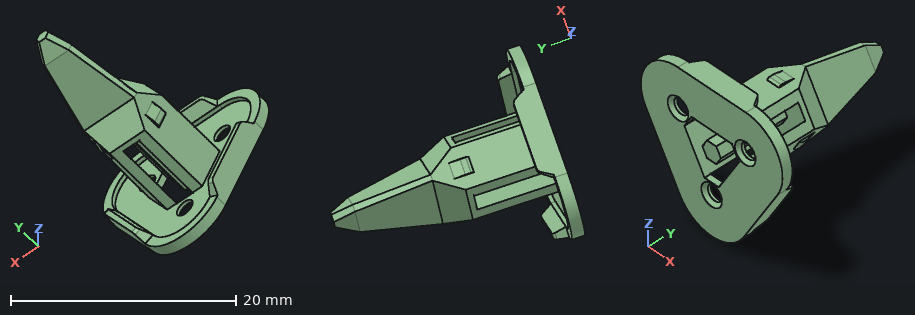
import cadquery as cq
import math

TURNS = (0, 120, 240)

FLANGE_THICKNESS = 1.24
FLOOR_THICKNESS = 0.78
CORNER_DISTANCE = 5.03
CORNER_RADIUS = 4.72
FLAT_DISTANCE = CORNER_DISTANCE / 2 + CORNER_RADIUS
CORNERS = [
    (CORNER_DISTANCE * math.sin(math.radians(turn)), -CORNER_DISTANCE * math.cos(math.radians(turn)))
    for turn in TURNS
]

HOLE_DISTANCE = 4.96
HOLE_RADIUS = 0.9
COUNTERSINK_RADIUS = 1.32

LIP_TOP = 2.51
LIP_BASE_HALF_LENGTH = 4.15
LIP_TOP_HALF_LENGTH = 3.35
LIP_BASE_WIDTH = 1.07
LIP_TOP_WIDTH = 0.55
LIP_END_FILLET = 0.5

PEG_INRADIUS = 3.5
PEG_STATIONS = (
    (0, PEG_INRADIUS, PEG_INRADIUS),
    (8.8, PEG_INRADIUS, PEG_INRADIUS),
    (11.3, PEG_INRADIUS, 2.0),
    (18.6, 1.77, 1.17),
    (20.6, 0.62, 0.62),
)

CAVITY_INRADIUS = 2.53
CAVITY_DEPTH = 8.2
PIN_INRADIUS = 1.03

CATCH_HALF_WIDTH = 0.76
CATCH_HEIGHT = 0.2
CATCH_RAMP_START = 9.43
CATCH_CREST_FRONT = 8.4
CATCH_CREST_BACK = 7.87
CATCH_BACK_RADIUS = 0.3


def turned(shape, angle):
    """Turn a shape about the peg axis."""
    return shape.rotate((0, 0, 0), (0, 1, 0), angle)


def base_plane(height):
    """Sketch plane across the peg, with local x along X, local y along Z and its normal along -Y."""
    return cq.Plane(origin=(0, height, 0), xDir=(1, 0, 0), normal=(0, -1, 0))


def hexagon(catch_distance, window_distance):
    """Corners of a hexagon whose faces lie alternately at two distances from the axis."""
    reach = (catch_distance + window_distance) / math.sqrt(3)
    catch_half = (2 * window_distance - catch_distance) / math.sqrt(3)
    window_half = (2 * catch_distance - window_distance) / math.sqrt(3)
    drop = window_distance - catch_distance
    return [
        (catch_half, catch_distance),
        (reach, drop),
        (window_half, -window_distance),
        (-window_half, -window_distance),
        (-reach, drop),
        (-catch_half, catch_distance),
    ]


def prism(corners, depth):
    """Upright prism from the flange underside."""
    return cq.Workplane(base_plane(0)).polyline(corners).close().extrude(-depth)


def rounded_triangle(corner_radius, bottom, top):
    """Triangular slab between two heights, with its corners rounded about the corner centres."""
    outline = cq.Workplane(base_plane(bottom)).polyline(CORNERS).close().offset2D(corner_radius)
    return outline.extrude(bottom - top)


def make_flange():
    """Flange recessed on the peg side, leaving a rim as wide as the foot of the lips."""
    flange = rounded_triangle(CORNER_RADIUS, 0, FLANGE_THICKNESS)
    recess = rounded_triangle(CORNER_RADIUS - LIP_BASE_WIDTH, FLOOR_THICKNESS, FLANGE_THICKNESS)
    return flange.cut(recess)


def make_lip():
    """Lip on the +Z edge: upright outer face, leaning inner face and leaning ends with rounded tops."""
    side = [
        (-LIP_BASE_HALF_LENGTH, FLANGE_THICKNESS),
        (LIP_BASE_HALF_LENGTH, FLANGE_THICKNESS),
        (LIP_TOP_HALF_LENGTH, LIP_TOP),
        (-LIP_TOP_HALF_LENGTH, LIP_TOP),
    ]
    section = [
        (FLANGE_THICKNESS, FLAT_DISTANCE),
        (FLANGE_THICKNESS, FLAT_DISTANCE - LIP_BASE_WIDTH),
        (LIP_TOP, FLAT_DISTANCE - LIP_TOP_WIDTH),
        (LIP_TOP, FLAT_DISTANCE),
    ]
    bar = cq.Workplane("XY").polyline(side).close().extrude(FLAT_DISTANCE)
    bar = bar.faces(">Y").edges("|Z").fillet(LIP_END_FILLET)
    rail = cq.Workplane("YZ").polyline(section).close().extrude(LIP_BASE_HALF_LENGTH, both=True)
    return bar.intersect(rail)


def make_peg():
    """Hexagonal peg that tapers through its stations to a blunt tip."""
    peg = None
    for (low, *low_faces), (high, *high_faces) in zip(PEG_STATIONS, PEG_STATIONS[1:]):
        stage = (
            cq.Workplane(base_plane(low)).polyline(hexagon(*low_faces)).close()
            .workplane(offset=low - high).polyline(hexagon(*high_faces)).close()
            .loft(ruled=True)
        )
        peg = stage if peg is None else peg.union(stage)
    return peg


def make_cavity():
    """The cavity breaks out through the window faces, where the triangle is cut off by the peg hexagon."""
    cavity = prism(hexagon(CAVITY_INRADIUS, PEG_INRADIUS), CAVITY_DEPTH)
    return cavity.cut(prism(hexagon(PIN_INRADIUS, PIN_INRADIUS), CAVITY_DEPTH))


def make_catch():
    """Catch on the +Z face of the peg: a ramp toward the tip and a rounded back."""
    crest = PEG_INRADIUS + CATCH_HEIGHT
    round_centre = crest - CATCH_BACK_RADIUS
    foot = CATCH_CREST_BACK - math.sqrt(CATCH_BACK_RADIUS**2 - (PEG_INRADIUS - round_centre) ** 2)
    return (
        cq.Workplane("YZ")
        .moveTo(CATCH_RAMP_START, PEG_INRADIUS)
        .lineTo(CATCH_CREST_FRONT, crest)
        .lineTo(CATCH_CREST_BACK, crest)
        .radiusArc((foot, PEG_INRADIUS), -CATCH_BACK_RADIUS)
        .close()
        .extrude(CATCH_HALF_WIDTH, both=True)
    )


def make_hole():
    """Screw hole on the -Z side, countersunk at 45 degrees from the flange underside."""
    sink_depth = COUNTERSINK_RADIUS - HOLE_RADIUS
    profile = [
        (0, 0),
        (COUNTERSINK_RADIUS, 0),
        (HOLE_RADIUS, sink_depth),
        (HOLE_RADIUS, FLANGE_THICKNESS),
        (0, FLANGE_THICKNESS),
    ]
    hole = cq.Workplane("XY").polyline(profile).close().revolve(360, (0, 0), (0, 1))
    return hole.translate((0, 0, -HOLE_DISTANCE))


result = make_flange().union(make_peg())
for turn in TURNS:
    result = result.union(turned(make_lip(), turn)).union(turned(make_catch(), turn))
result = result.cut(make_cavity())
for turn in TURNS:
    result = result.cut(turned(make_hole(), turn))
result = cq.Workplane(result.solids().val())